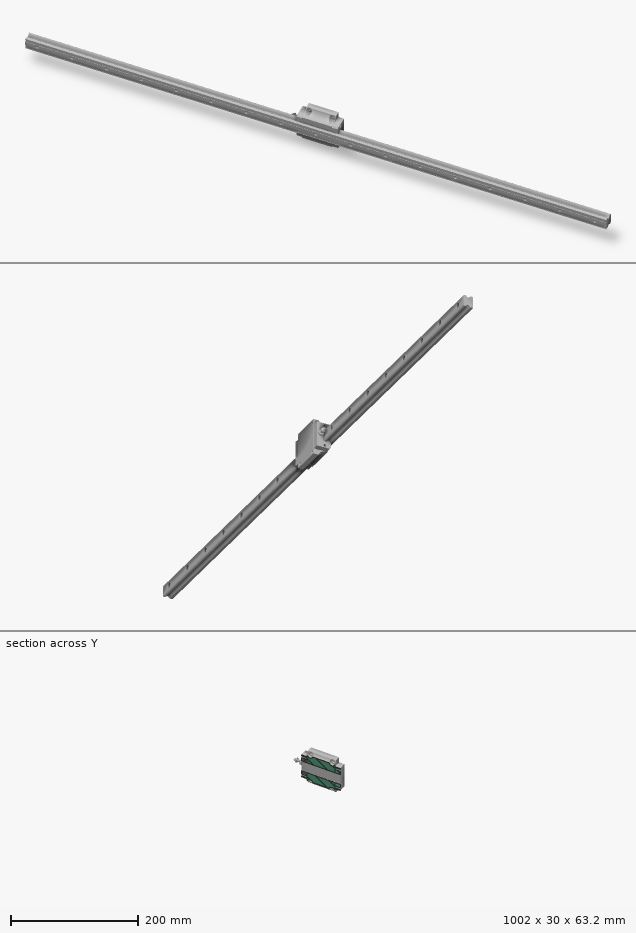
import cadquery as cq
import math


rail_length = 1002.0
rail_half_width = 10.0
rail_height = 17.0
rail_top_chamfer = 1.4
raceway_low = 4.8
raceway_high = 13.2
raceway_depth = 3.0
relief_inner_z = 3.7
relief_outer_z = 8.9
relief_depth = 0.5
rail_hole_pitch = 60.0
rail_hole_count = 17
rail_hole_diameter = 6.0
rail_counterbore_diameter = 9.5
rail_counterbore_depth = 8.5

guide_height = 30.0
carriage_length = 51.0
carriage_half_width = 31.6
body_half_width = 22.0
carriage_bottom = 4.6
flange_thickness = 9.4
flange_chamfer = 0.6
fillet_foot = 8.0
running_clearance = 0.5
mount_hole_x = 20.0
mount_hole_z = 26.6
mount_hole_diameter = 5.2
spot_face_diameter = 9.5

cap_length = 10.0
cap_top = 29.6
cap_chamfer = 2.0
cap_screw_z = 18.0
cap_screw_y = 15.0
cap_screw_diameter = 5.0

nipple_y = 24.0
nipple_z = 1.5
nipple_stem_diameter = 5.0
nipple_stem_length = 2.0
nipple_base_diameter = 9.5
nipple_base_length = 2.5
nipple_neck_diameter = 4.1
nipple_neck_length = 6.5
nipple_collar_diameter = 8.0
nipple_collar_length = 1.5
nipple_head_diameter = 5.2
nipple_head_length = 2.0
nipple_tip_diameter = 2.5
nipple_tip_length = 2.5


def extruded_along_x(outline, length):
    """Extrude a closed outline of the cross section, centred on X = 0."""
    return outline.extrude(length / 2, both=True)


def section_plane():
    """Plane across the rail: local x is Z, local y is Y."""
    return cq.Workplane(cq.Plane(origin=(0, 0, 0), xDir=(0, 0, 1), normal=(-1, 0, 0)))


def mirrored(half_outline):
    """Complete a half outline given for Z > 0, from bottom to top, with its mirror image."""
    return half_outline + [(-z, y) for z, y in reversed(half_outline)]


def raceway_half_outline():
    """Rail side from the lower flank up to the top, for Z > 0, with a raceway between 45-degree flanks."""
    neck = rail_half_width - raceway_depth
    return [
        (rail_half_width, raceway_low),
        (neck, raceway_low + raceway_depth),
        (neck, raceway_high - raceway_depth),
        (rail_half_width, raceway_high),
        (rail_half_width, rail_height - rail_top_chamfer),
        (rail_half_width - rail_top_chamfer, rail_height),
    ]


def hole_along_y(diameter, x, y_start, z, length):
    """Cylinder from y_start toward +Y."""
    start = cq.Vector(x, y_start, z)
    return cq.Workplane(cq.Solid.makeCylinder(diameter / 2, length, start, cq.Vector(0, 1, 0)))


def make_rail():
    """Rail with two shallow relief grooves in its base and a row of counterbored holes."""
    half = [
        (relief_inner_z, 0),
        (relief_inner_z, relief_depth),
        (relief_outer_z, relief_depth),
        (relief_outer_z, 0),
        (rail_half_width, 0),
    ] + raceway_half_outline()
    rail = extruded_along_x(section_plane().polyline(mirrored(half)).close(), rail_length)
    counterbore_floor = rail_height - rail_counterbore_depth
    for index in range(rail_hole_count):
        x = (index - (rail_hole_count - 1) / 2) * rail_hole_pitch
        through_hole = hole_along_y(rail_hole_diameter, x, 0, 0, rail_height)
        counterbore = hole_along_y(
            rail_counterbore_diameter, x, counterbore_floor, 0, rail_counterbore_depth
        )
        rail = rail.cut(through_hole).cut(counterbore)
    return rail


def rail_channel(length):
    """Space left for the rail: its raceway outline plus the running clearance, open downward."""
    half = [(rail_half_width, -rail_height)] + raceway_half_outline()
    outline = section_plane().polyline(mirrored(half)).close().offset2D(running_clearance, "intersection")
    return extruded_along_x(outline, length)


def make_carriage():
    """Flanged steel block with four mounting holes, spot-faced from below."""
    flange_bottom = guide_height - flange_thickness
    fillet_top_z = carriage_half_width - flange_chamfer
    rise = fillet_top_z - body_half_width
    drop = flange_bottom - fillet_foot
    radius = (rise**2 + drop**2) / (2 * rise)
    half_angle = math.asin(drop / radius) / 2
    arc_mid = (
        body_half_width + radius * (1 - math.cos(half_angle)),
        fillet_foot + radius * math.sin(half_angle),
    )
    outline = (
        section_plane()
        .moveTo(0, carriage_bottom)
        .lineTo(body_half_width, carriage_bottom)
        .lineTo(body_half_width, fillet_foot)
        .threePointArc(arc_mid, (fillet_top_z, flange_bottom))
        .lineTo(carriage_half_width, flange_bottom + flange_chamfer)
        .lineTo(carriage_half_width, guide_height)
        .lineTo(0, guide_height)
        .mirrorY()
    )
    carriage = extruded_along_x(outline, carriage_length).cut(rail_channel(carriage_length))
    seat = flange_bottom + flange_chamfer
    for x in (-mount_hole_x, mount_hole_x):
        for z in (-mount_hole_z, mount_hole_z):
            carriage = carriage.cut(hole_along_y(spot_face_diameter, x, 0, z, seat))
            carriage = carriage.cut(hole_along_y(mount_hole_diameter, x, 0, z, guide_height))
    return carriage


def make_end_cap(side):
    """End cap on the carriage end at side = -1 or +1 along X."""
    half = [
        (body_half_width - cap_chamfer, carriage_bottom),
        (body_half_width, carriage_bottom + cap_chamfer),
        (body_half_width, cap_top),
    ]
    cap = extruded_along_x(section_plane().polyline(mirrored(half)).close(), cap_length)
    cap = cap.cut(rail_channel(cap_length))
    screw_holes = section_plane().pushPoints([(z, cap_screw_y) for z in (-cap_screw_z, cap_screw_z)])
    cap = cap.cut(extruded_along_x(screw_holes.circle(cap_screw_diameter / 2), cap_length))
    return cap.translate((side * (carriage_length + cap_length) / 2, 0, 0))


def make_nipple():
    """Grease nipple standing on the outer face of the -X end cap."""
    face_x = -carriage_length / 2 - cap_length
    base_x = face_x - nipple_stem_length
    neck_x = base_x - nipple_base_length
    collar_x = neck_x - nipple_neck_length
    head_x = collar_x - nipple_collar_length
    tip_x = head_x - nipple_head_length
    end_x = tip_x - nipple_tip_length
    profile = [
        (face_x, 0),
        (face_x, nipple_stem_diameter / 2),
        (base_x, nipple_stem_diameter / 2),
        (base_x, nipple_base_diameter / 2),
        (neck_x, nipple_base_diameter / 2),
        (neck_x, nipple_neck_diameter / 2),
        (collar_x, nipple_neck_diameter / 2),
        (collar_x, nipple_collar_diameter / 2),
        (head_x, nipple_collar_diameter / 2),
        (tip_x, nipple_head_diameter / 2),
        (end_x, nipple_tip_diameter / 2),
        (end_x, 0),
    ]
    nipple = cq.Workplane("XY").polyline(profile).close().revolve(360, (0, 0, 0), (1, 0, 0))
    return nipple.translate((0, nipple_y, nipple_z))


rail = make_rail()
carriage = make_carriage()
end_caps = [make_end_cap(side) for side in (-1, 1)]
nipple = make_nipple()

result = cq.Compound.makeCompound([rail.val(), carriage.val(), *[cap.val() for cap in end_caps], nipple.val()])